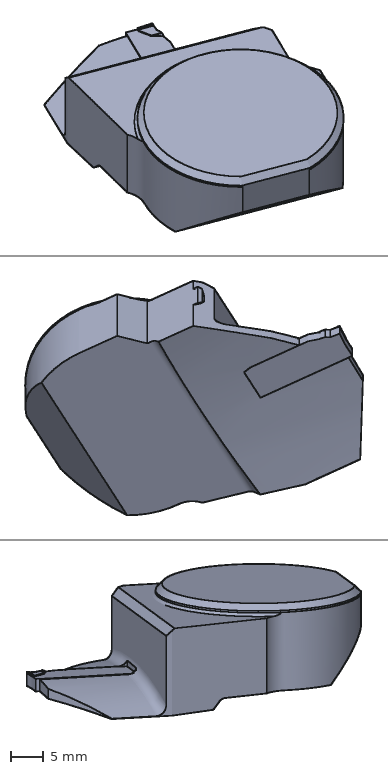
import cadquery as cq
import math


disc_radius = 16.0
disc_top_z = 15.6
disc_chamfer = 1.0
disc_flat_x = 14.95
disc_fillet = 0.45

block_radius = 15.95
block_top_z = 13.8
block_left_x = -20.8
front_y = -21.05
front_corner_x = -19.85
front_slope_end = (-3.6, -17.5)
front_blend_x = -0.2
side_y = 12.5
side_jog_x = -10.15
top_bevel_width = 1.35
top_bevel_depth = 1.1

relief_z = 1.9
relief_start_x = -12.95
relief_ramp_width = 1.6
relief_fillet = 1.3
tail_chamfer = 7.2

blade_left_x = -36.5
blade_corner_y = -9.15
blade_front_x = -29.6
blade_crown_y = 0.5
blade_crown_z = 3.5
blade_crown_radius = 70.0
underside_crown_y = -0.4
underside_radius = 142.9
blade_fillet = 1.55
slant_foot = (-30.85, 1.2)
slant_kink = (-27.65, 4.5)
slant_top_x = -18.25

pad_radius = 2.8
pad_center_y = 14.1
pad_center_z = 9.2
pad_left_x = -19.6
pad_length = 2.6
pad_chamfer = 0.45

insert_left_x = -37.15
insert_end_x = -20.95
insert_front_y = -4.45
insert_back_y = slant_foot[1]
insert_back_x = -32.4
insert_end_taper = (1.35, 0.3)
insert_bottom_z = 1.45
insert_top_z = 3.45
tip_corner = (-37.4, 0.1)
tip_front_y = -2.0
tip_notch = (-35.8, 0.2)
tip_shoulder = (-35.15, 0.65)
chip_face_end = (-34.1, 0.75)
chip_face_front = (-36.65, -2.45)
chip_face_corner = (-34.85, -1.05)
chip_face_z = 3.6
chip_land_z = 3.7
chip_land_width = 0.3
chip_land_slope = 0.2

margin = 2.6


def prism_along_y(points):
    """Prism of an XZ outline that overshoots the part in Y."""
    return cq.Workplane("XZ").polyline(points).close().extrude(abs(front_y) + margin, both=True)


def cylinder_along_x(left_x, right_x, crown_y, crown_z, radius):
    """Cylinder parallel to X whose highest line lies at crown_y and crown_z."""
    start = (left_x, crown_y, crown_z - radius)
    return cq.Workplane("YZ", origin=start).circle(radius).extrude(right_x - left_x)


def make_plan(height):
    """Plan outline of blade and block, extruded up from Z = 0."""
    flat_half_y = math.sqrt(block_radius**2 - disc_flat_x**2)
    front_blend_y = -math.sqrt(block_radius**2 - front_blend_x**2)
    diagonal = block_radius * math.sqrt(0.5)
    return (
        cq.Workplane("XY")
        .moveTo(0, block_radius)
        .threePointArc((diagonal, diagonal), (disc_flat_x, flat_half_y))
        .lineTo(disc_flat_x, -flat_half_y)
        .threePointArc((diagonal, -diagonal), (front_blend_x, front_blend_y))
        .tangentArcPoint(front_slope_end, relative=False)
        .lineTo(front_corner_x, front_y)
        .lineTo(blade_front_x, front_y)
        .lineTo(blade_left_x, blade_corner_y)
        .lineTo(blade_left_x, insert_front_y)
        .lineTo(*slant_foot)
        .lineTo(*slant_kink)
        .lineTo(slant_top_x, side_y)
        .lineTo(side_jog_x, side_y)
        .lineTo(side_jog_x + block_radius - side_y, block_radius)
        .close()
        .extrude(height)
    )


def make_disc():
    """Chamfered disc with its flat, standing above the foot fillet."""
    neck_z = block_top_z + disc_fillet
    flat_cut = cq.Workplane("XY").box(
        margin, 2 * disc_radius, 2 * disc_top_z, centered=(False, True, False)
    ).translate((disc_flat_x, 0, 0))
    return (
        cq.Workplane("XY", origin=(0, 0, neck_z))
        .circle(disc_radius)
        .extrude(disc_top_z - neck_z)
        .cut(flat_cut)
        .faces(">Z")
        .edges()
        .chamfer(disc_chamfer)
    )


def make_disc_foot():
    """Ring-shaped concave fillet between the disc and the top of the block, with its core."""
    neck_z = block_top_z + disc_fillet
    sag = disc_fillet * (1 - math.sqrt(0.5))
    return (
        cq.Workplane("XZ")
        .moveTo(0, block_top_z)
        .lineTo(disc_radius + disc_fillet, block_top_z)
        .threePointArc((disc_radius + sag, block_top_z + sag), (disc_radius, neck_z))
        .lineTo(0, neck_z)
        .close()
        .revolve(360, (0, 0), (0, 1))
    )


def make_blade_clearance():
    """Space above the crowned blade, rounded where the blade runs into the block."""
    left_x = blade_left_x - margin
    width = 2 * (abs(front_y) + margin)
    space = cq.Workplane("XY").box(
        block_left_x - left_x, width, disc_top_z + margin, centered=(False, True, False)
    ).translate((left_x, 0, -margin))
    blade = cylinder_along_x(
        left_x - margin, block_left_x + margin, blade_crown_y, blade_crown_z, blade_crown_radius
    )
    return space.cut(blade).faces(">X").edges("<Z").fillet(blade_fillet)


def make_underside_cut():
    """Cylinder that hollows the underside of blade and block, reaching Z = 0 at the front edge."""
    reach_y = underside_crown_y - front_y
    rise = underside_radius - math.sqrt(underside_radius**2 - reach_y**2)
    return cylinder_along_x(
        blade_left_x - margin, disc_flat_x + margin, underside_crown_y, rise, underside_radius
    )


def make_relief_cut():
    """Stepped relief under the block, ending in the large tail chamfer."""
    step_x = relief_start_x + relief_ramp_width
    tail_end_x = disc_flat_x + margin
    cutter = prism_along_y([
        (relief_start_x, 0),
        (step_x, relief_z),
        (disc_flat_x - tail_chamfer, relief_z),
        (tail_end_x, relief_z + tail_chamfer + margin),
        (tail_end_x, -margin),
        (relief_start_x, -margin),
    ])
    step_edge = cq.selectors.NearestToPointSelector((step_x, 0, relief_z))
    return cutter.edges(step_edge).fillet(relief_fillet)


def make_top_bevel_cut():
    """Bevel along the top left edge of the block."""
    return prism_along_y([
        (block_left_x, block_top_z - top_bevel_depth),
        (block_left_x + top_bevel_width, block_top_z),
        (block_left_x, block_top_z),
    ])


def make_pad():
    """Part of a disc facing -X that stands proud of the slanted corner, flush with the side face."""
    keep = (
        cq.Workplane("XY")
        .moveTo(pad_left_x, front_y)
        .lineTo(pad_left_x, side_y - pad_chamfer)
        .lineTo(pad_left_x + pad_chamfer, side_y)
        .lineTo(pad_left_x + pad_length, side_y)
        .lineTo(pad_left_x + pad_length, front_y)
        .close()
        .extrude(disc_top_z)
    )
    return (
        cq.Workplane("YZ", origin=(pad_left_x, pad_center_y, pad_center_z))
        .circle(pad_radius)
        .extrude(pad_length)
        .intersect(keep)
    )


def make_insert_plan(bottom_z, top_z):
    """Plan outline of the insert between two heights."""
    taper_length, taper_depth = insert_end_taper
    return (
        cq.Workplane("XY", origin=(0, 0, bottom_z))
        .moveTo(insert_end_x, insert_front_y)
        .lineTo(insert_left_x, insert_front_y)
        .lineTo(insert_left_x, tip_front_y)
        .lineTo(*tip_corner)
        .lineTo(*tip_notch)
        .lineTo(*tip_shoulder)
        .lineTo(*chip_face_end)
        .lineTo(insert_back_x, insert_back_y)
        .lineTo(insert_end_x - taper_length, insert_back_y)
        .lineTo(insert_end_x, insert_back_y - taper_depth)
        .close()
        .extrude(top_z - bottom_z)
    )


def make_chip_face():
    """Raised tip of the insert: a flat chip face between a cutting land and a sloping rear ridge."""
    tip_x = tip_corner[0]
    land_end_x = tip_x + chip_land_width
    ridge_x = chip_face_corner[0]
    profile = prism_along_y([
        (tip_x, insert_top_z),
        (tip_x, chip_land_z),
        (land_end_x, chip_land_z),
        (land_end_x + chip_land_slope, chip_face_z),
        (ridge_x, chip_face_z),
        (ridge_x + chip_land_slope, chip_land_z),
        (chip_face_end[0], insert_top_z),
    ])
    outline = (
        cq.Workplane("XY", origin=(0, 0, insert_top_z))
        .polyline([
            tip_corner,
            (insert_left_x, chip_face_front[1]),
            chip_face_front,
            chip_face_corner,
            chip_face_end,
            tip_shoulder,
            tip_notch,
        ])
        .close()
        .extrude(chip_land_z - insert_top_z)
    )
    return outline.intersect(profile)


def make_holder():
    """Holder: block and blade below the clamping disc, with the slot for the insert."""
    foot = make_disc_foot().intersect(make_plan(disc_top_z))
    return (
        make_plan(block_top_z)
        .cut(make_blade_clearance())
        .cut(make_top_bevel_cut())
        .cut(make_underside_cut())
        .cut(make_relief_cut())
        .cut(make_insert_plan(0, block_top_z))
        .union(make_pad())
        .union(foot)
        .union(make_disc())
    )


def make_insert():
    """Cutting insert with its raised chip face."""
    return make_insert_plan(insert_bottom_z, insert_top_z).union(make_chip_face())


holder = make_holder()
insert = make_insert()

result = cq.Compound.makeCompound([holder.solids().val(), insert.solids().val()])